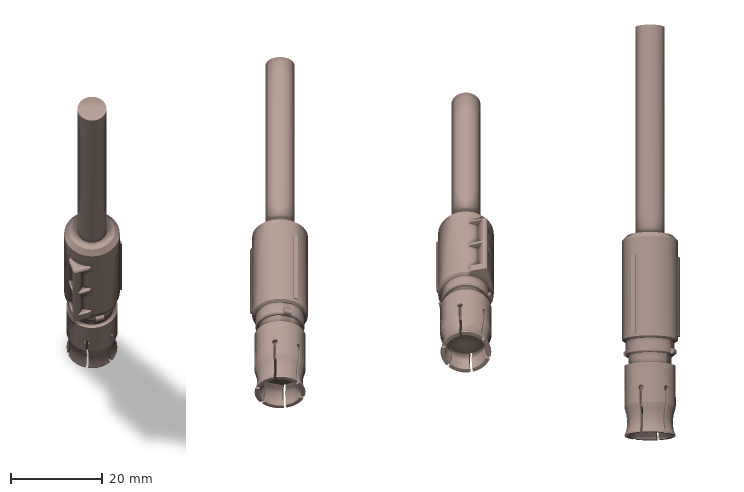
import cadquery as cq
import math

total_height = 91.1
outer_reach = 6.2

cable_radius = 3.2
grip_radius = 6.1
grip_bottom = 20.95
grip_top = 44.55
grip_top_chamfer = 1.1
grip_bottom_chamfer_width = 0.55
grip_bottom_chamfer_height = 0.4

key_bottom = grip_bottom
key_top = 39.6
key_face_start = 2.6
key_toe_start = 2.0
key_web_thickness = 1.4
key_chamfer = 0.3
key_windows = [(23.0, 30.5), (31.25, 39.0)]

rib_bottom = 22.05
rib_top = 39.7
rib_width = 0.9
rib_offset = 1.6

upper_neck_radius = 5.4
upper_neck_flat = 5.2
upper_neck_bottom = 17.9
upper_neck_chamfer = 0.3
lower_neck_radius = 4.7
lower_neck_flat = 4.5
lower_neck_bottom = 5.8

nub_reach = 5.9
nub_width = 1.8
nub_height = 1.3
nub_round = 0.59

sleeve_radius = 5.65
sleeve_top = 15.5
shoulder_top = 6.6
shoulder_bottom = 5.7
shoulder_radius = 5.5
waist_radius = 5.0
waist_height = 3.0
rim_radius = 5.6
rim_height = 0.3
finger_wall = 0.9

slot_count = 6
slot_first_angle = 30.0
slot_width = 0.59
slot_hole_radius = 0.6
slot_hole_height = 9.8


def cylinder(radius, bottom, top):
    return cq.Workplane("XY").workplane(offset=bottom).circle(radius).extrude(top - bottom)


def trim_flats(body, flat):
    """Trim a round body by two flats at X = -flat and X = +flat."""
    slab = cq.Workplane("XY").box(2 * flat, 4 * grip_radius, 2 * total_height)
    return body.intersect(slab)


def make_grip():
    bottom_radius = grip_radius - grip_bottom_chamfer_width
    profile = [
        (0, grip_bottom),
        (bottom_radius, grip_bottom),
        (grip_radius, grip_bottom + grip_bottom_chamfer_height),
        (grip_radius, grip_top - grip_top_chamfer),
        (grip_radius - grip_top_chamfer, grip_top),
        (0, grip_top),
    ]
    return cq.Workplane("XZ").polyline(profile).close().revolve(360, (0, 0), (0, 1))


def make_key():
    """Corner block with a thin diagonal web left between its shelves."""
    toe_depth = math.sqrt(grip_radius**2 - key_toe_start**2)
    outline = [
        (0, 0),
        (key_toe_start, -toe_depth),
        (key_face_start, -outer_reach),
        (outer_reach, -outer_reach),
        (outer_reach, -key_face_start),
        (toe_depth, -key_toe_start),
    ]
    height = key_top - key_bottom
    key = cq.Workplane("XY").workplane(offset=key_bottom).polyline(outline).close().extrude(height)
    outer_edges = key.faces("<Y").edges(">Z or >X").add(key.faces(">X").edges(">Z"))
    key = key.newObject(outer_edges.vals()).chamfer(key_chamfer)
    for bottom, top in key_windows:
        window = cq.Workplane("XY").box(4 * grip_radius, 4 * grip_radius, top - bottom)
        web = cq.Workplane("XY").box(4 * grip_radius, key_web_thickness, top - bottom)
        web = web.rotate((0, 0, 0), (0, 0, 1), -45)
        key = key.cut(window.cut(web).translate((0, 0, (bottom + top) / 2)))
    return key


def make_ribs():
    """One rib on the -X side and its mirror image across the key diagonal on +Y."""
    height = rib_top - rib_bottom
    base = cq.Workplane("XY").workplane(offset=rib_bottom)
    side_rib = base.center(-outer_reach / 2, -rib_offset).rect(outer_reach, rib_width).extrude(height)
    back_rib = base.center(rib_offset, outer_reach / 2).rect(rib_width, outer_reach).extrude(height)
    return side_rib.union(back_rib)


def make_necks():
    upper = cylinder(upper_neck_radius, upper_neck_bottom, grip_bottom).faces("<Z").chamfer(upper_neck_chamfer)
    lower = cylinder(lower_neck_radius, lower_neck_bottom, upper_neck_bottom)
    return trim_flats(upper, upper_neck_flat).union(trim_flats(lower, lower_neck_flat))


def make_nubs():
    center_height = upper_neck_bottom + nub_height / 2
    nubs = cq.Workplane("XY").box(2 * nub_reach, nub_width, nub_height)
    nubs = nubs.faces("<X or >X").edges("|Y").fillet(nub_round)
    return nubs.translate((0, 0, center_height))


def waist_arc_middle(end_radius, end_height):
    """Halfway point of the arc that leaves the waist vertically and reaches the given end."""
    rise = end_height - waist_height
    spread = end_radius - waist_radius
    arc_radius = (rise**2 + spread**2) / (2 * spread)
    half_rise = rise / 2
    offset = arc_radius - math.sqrt(arc_radius**2 - half_rise**2)
    return waist_radius + offset, waist_height + half_rise


def make_sleeve():
    """Thin tube with a waisted, flared mouth."""
    waist = (waist_radius, waist_height)
    upper_mid = waist_arc_middle(shoulder_radius, shoulder_bottom)
    flare_mid = waist_arc_middle(rim_radius, rim_height)
    sleeve = (
        cq.Workplane("XZ")
        .moveTo(lower_neck_radius, sleeve_top)
        .lineTo(sleeve_radius, sleeve_top)
        .lineTo(sleeve_radius, shoulder_top)
        .lineTo(shoulder_radius, shoulder_bottom)
        .threePointArc(upper_mid, waist)
        .threePointArc(flare_mid, (rim_radius, rim_height))
        .lineTo(rim_radius, 0)
        .lineTo(rim_radius - finger_wall, 0)
        .lineTo(waist_radius - finger_wall, waist_height)
        .lineTo(lower_neck_radius, lower_neck_bottom)
        .close()
        .revolve(360, (0, 0), (0, 1))
    )
    for index in range(slot_count):
        angle = slot_first_angle + index * 360 / slot_count
        sleeve = sleeve.cut(make_slot().rotate((0, 0, 0), (0, 0, 1), angle))
    return sleeve


def make_slot():
    """Radial slot along +X, open at the bottom and ending in a round hole."""
    reach = 2 * sleeve_radius
    slit = cq.Workplane("YZ").center(0, slot_hole_height / 2).rect(slot_width, slot_hole_height).extrude(reach)
    hole = cq.Workplane("YZ").center(0, slot_hole_height).circle(slot_hole_radius).extrude(reach)
    return slit.union(hole)


result = (
    make_grip()
    .union(cylinder(cable_radius, grip_top, total_height))
    .union(make_key())
    .union(make_ribs())
    .union(make_necks())
    .union(make_nubs())
    .union(make_sleeve())
)